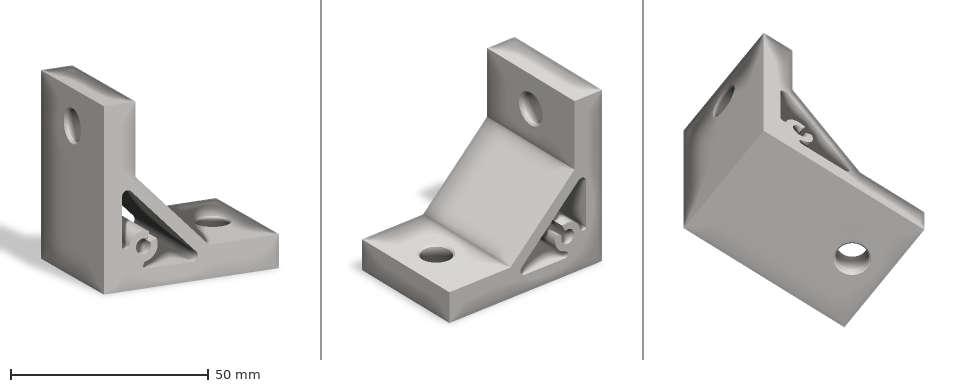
import cadquery as cq
import math

leg_length = 50.0
width = 35.0
leg_thickness = 9.0
free_leg_length = 20.0

cavity_wall = 5.2
gusset_wall = 3.5
cavity_corner_radius = 1.5

boss_centre = 11.25
boss_radius = 4.1
bore_radius = 2.1
slit_half_angle = 20.5
relief_radius = 1.15
relief_angle = 12.0

hole_diameter = 8.5
hole_chamfer = 0.5
hole_end_distance = 10.0


def from_boss(radius, angle):
    """Point (Y, Z) at a polar position about the boss centre."""
    a = math.radians(angle)
    return boss_centre + radius * math.cos(a), boss_centre + radius * math.sin(a)


def mirrored(point):
    """Reflect a (Y, Z) point in the bracket's symmetry plane."""
    return point[1], point[0]


def make_body():
    gusset_end = leg_length - free_leg_length
    outline = [
        (0, 0),
        (leg_length, 0),
        (leg_length, leg_thickness),
        (gusset_end, leg_thickness),
        (leg_thickness, gusset_end),
        (leg_thickness, leg_length),
        (0, leg_length),
    ]
    return cq.Workplane("YZ").polyline(outline).close().extrude(width / 2, both=True)


def make_cavity():
    slope_sum = leg_length - free_leg_length + leg_thickness - gusset_wall * math.sqrt(2)
    corner_z = slope_sum - cavity_wall
    tangent_length = cavity_corner_radius / math.tan(math.radians(22.5))
    diagonal_step = tangent_length / math.sqrt(2)
    corner_centre = (cavity_wall + cavity_corner_radius, corner_z - tangent_length)
    corner_start = (cavity_wall, corner_z - tangent_length)
    corner_end = (cavity_wall + diagonal_step, corner_z - diagonal_step)
    middle_angle = math.radians(180 - 135 / 2)
    corner_middle = (
        corner_centre[0] + cavity_corner_radius * math.cos(middle_angle),
        corner_centre[1] + cavity_corner_radius * math.sin(middle_angle),
    )

    relief_y, relief_z = from_boss(boss_radius + relief_radius, 180 - relief_angle)
    wall_offset = relief_y - cavity_wall
    relief_start = (cavity_wall, relief_z - math.sqrt(relief_radius**2 - wall_offset**2))
    relief_middle = (relief_y, relief_z - relief_radius)
    relief_end = from_boss(boss_radius, 180 - relief_angle)

    slit_angle = 45 + slit_half_angle
    slit_outer = from_boss(boss_radius, slit_angle)
    slit_inner = from_boss(bore_radius, slit_angle)
    boss_middle = from_boss(boss_radius, (180 - relief_angle + slit_angle) / 2)
    bore_middle = from_boss(bore_radius, 225)

    return (
        cq.Workplane("YZ")
        .moveTo(*corner_end)
        .threePointArc(corner_middle, corner_start)
        .lineTo(*relief_start)
        .threePointArc(relief_middle, relief_end)
        .threePointArc(boss_middle, slit_outer)
        .lineTo(*slit_inner)
        .threePointArc(bore_middle, mirrored(slit_inner))
        .lineTo(*mirrored(slit_outer))
        .threePointArc(mirrored(boss_middle), mirrored(relief_end))
        .threePointArc(mirrored(relief_middle), mirrored(relief_start))
        .lineTo(*mirrored(corner_start))
        .threePointArc(mirrored(corner_middle), mirrored(corner_end))
        .close()
        .extrude(width / 2, both=True)
    )


def make_hole_cutter(centre, direction):
    """Through-hole cutter for one leg, flared by a chamfer at both faces."""
    rim_radius = hole_diameter / 2 + hole_chamfer
    half_profile = [
        (0, 0),
        (rim_radius, 0),
        (hole_diameter / 2, hole_chamfer),
        (hole_diameter / 2, leg_thickness - hole_chamfer),
        (rim_radius, leg_thickness),
        (0, leg_thickness),
    ]
    plane = cq.Plane(origin=centre, xDir=(1, 0, 0), normal=direction)
    return cq.Workplane(plane).polyline(half_profile).close().revolve(360, (0, 0), (0, 1))


hole_position = leg_length - hole_end_distance
upright_hole = make_hole_cutter((0, 0, hole_position), (0, 0, 1))
foot_hole = make_hole_cutter((0, hole_position, 0), (0, -1, 0))

result = make_body().cut(make_cavity()).cut(upright_hole).cut(foot_hole)